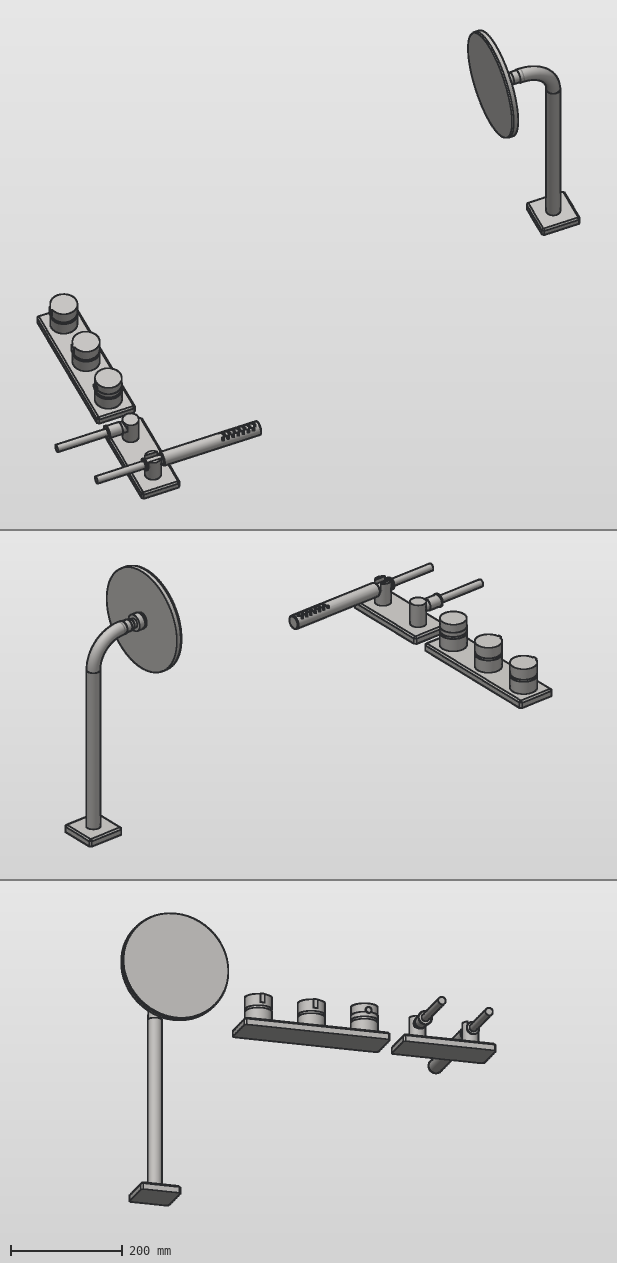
import cadquery as cq
PITCH = 100.0
KNOB_X = [-PITCH, 0, PITCH]
OUTLET_X = 2 * PITCH
HOLDER_X = 3 * PITCH
COLUMN_X = -1.0
COLUMN_Y = 916.0

PLATE_DEPTH = 75.0
PLATE_THICKNESS = 14.0
PLATE_CHAMFER = 3.0
CORNER_CHAMFER = 3.0
KNOB_PLATE_LENGTH = 275.0
POST_PLATE_LENGTH = 175.0

SLEEVE_DIAMETER = 49.0
SLEEVE_TOP = 40.0
KNOB_NECK_DIAMETER = 48.0
KNOB_DIAMETER = 49.0
KNOB_BOTTOM = 44.0
KNOB_TOP = 66.0
TAB_WIDTH = 8.0
TAB_BOTTOM = 49.0
MARK_PROJECTION = 2.0
THERMOSTAT_TOP = 69.0
THERMOSTAT_STEP = 53.0
THERMOSTAT_CAP_DIAMETER = 48.0
BUTTON_DIAMETER = 11.0
BUTTON_Z = 56.0

POST_DIAMETER = 30.0
POST_TOP = 59.0
HOSE_DIAMETER = 14.0
OUTLET_Z = 45.0
OUTLET_NECK_DIAMETER = 21.0
OUTLET_NECK_START = -10.0
OUTLET_NUT_DIAMETER = 23.0
OUTLET_NUT_START = -20.0
OUTLET_COLLAR_DIAMETER = 25.0
OUTLET_COLLAR_START = -45.0
OUTLET_COLLAR_END = -47.0
OUTLET_HOSE_END = -145.0

HAND_Z = 46.0
HAND_DIAMETER = 26.0
HAND_BACK = 208.0
HAND_FRONT = 16.0
HAND_CHAMFER = 1.6
HAND_NECK_DIAMETER = 18.0
HAND_COLLAR_DIAMETER = 23.0
HAND_COLLAR_START = -14.0
HAND_COLLAR_END = -18.0
HAND_HOSE_END = -111.0
NOZZLE_DIAMETER = 4.0
NOZZLE_DEPTH = 5.0
NOZZLE_ROWS = 7
NOZZLE_ROW_PITCH = 10.0
OUTER_NOZZLE_GAP = 15.0
INNER_NOZZLE_GAP = 5.0
SPRAY_CENTER_Y = 164.0

COLUMN_DIAMETER = 26.0
ARM_DIAMETER = 25.0
BEND_RADIUS = 63.0
ARM_RING_LENGTH = 7.0
ARM_SLEEVE_DIAMETER = 23.0
ARM_SLEEVE_LENGTH = 12.0
ARM_NECK_DIAMETER = 21.0
ARM_NECK_LENGTH = 7.0
ARM_TIP_DIAMETER = 18.0
ARM_TIP_LENGTH = 7.0

HEAD_DIAMETER = 200.0
HEAD_TOP = 500.0
HEAD_THICKNESS = 12.0
HEAD_BEVEL_DEPTH = 3.0
HEAD_BEVEL_INSET = 1.0
HEAD_NUT_DIAMETER = 32.0
HEAD_NUT_LENGTH = 13.0
HEAD_FLANGE_DIAMETER = 30.0
HEAD_FLANGE_LENGTH = 4.0

HEAD_Z = HEAD_TOP - HEAD_DIAMETER / 2
COLUMN_TOP = HEAD_Z - BEND_RADIUS
BEND_END_Y = COLUMN_Y - BEND_RADIUS


def upright(x, y, diameter, bottom, top):
    """Vertical cylinder between two heights."""
    return cq.Workplane("XY", origin=(x, y, bottom)).circle(diameter / 2).extrude(top - bottom)


def lying(x, z, diameter, back, front):
    """Cylinder along Y from its back end to its front end, which has the smaller Y."""
    return cq.Workplane("XZ", origin=(x, back, z)).circle(diameter / 2).extrude(back - front)


def deck_plate(x, y, length):
    """Rectangular plate with its upright corners and top edges chamfered."""
    plate = cq.Workplane("XY", origin=(x, y, 0)).rect(length, PLATE_DEPTH).extrude(PLATE_THICKNESS)
    plate = plate.edges("|Z").chamfer(CORNER_CHAMFER)
    return plate.faces(">Z").edges().chamfer(PLATE_CHAMFER)


def make_knob_base():
    """Knob plate with one fixed sleeve under each knob."""
    base = deck_plate(0, 0, KNOB_PLATE_LENGTH)
    for x in KNOB_X:
        base = base.union(upright(x, 0, SLEEVE_DIAMETER, PLATE_THICKNESS, SLEEVE_TOP))
    return base


def make_flow_knob(x):
    """Round knob on a narrower neck, with a pointer tab at the front."""
    knob = upright(x, 0, KNOB_DIAMETER, KNOB_BOTTOM, KNOB_TOP)
    knob = knob.union(upright(x, 0, KNOB_NECK_DIAMETER, SLEEVE_TOP, KNOB_BOTTOM))
    tab_length = KNOB_DIAMETER / 2 + MARK_PROJECTION
    tab = cq.Workplane("XY").box(
        TAB_WIDTH, tab_length, KNOB_TOP - TAB_BOTTOM, centered=(True, False, False)
    )
    return knob.union(tab.translate((x, -tab_length, TAB_BOTTOM)))


def make_thermostat_knob(x):
    """Taller stepped knob with a round safety button at the front."""
    knob = upright(x, 0, KNOB_DIAMETER, KNOB_BOTTOM, THERMOSTAT_STEP)
    knob = knob.union(upright(x, 0, KNOB_NECK_DIAMETER, SLEEVE_TOP, KNOB_BOTTOM))
    knob = knob.union(upright(x, 0, THERMOSTAT_CAP_DIAMETER, THERMOSTAT_STEP, THERMOSTAT_TOP))
    button_front = -KNOB_DIAMETER / 2 - MARK_PROJECTION
    return knob.union(lying(x, BUTTON_Z, BUTTON_DIAMETER, 0, button_front))


def make_post_base():
    """Plate with the outlet post, holed for the hose, and the holder post, slotted as a cradle."""
    base = deck_plate((OUTLET_X + HOLDER_X) / 2, 0, POST_PLATE_LENGTH)
    for x in (OUTLET_X, HOLDER_X):
        base = base.union(upright(x, 0, POST_DIAMETER, PLATE_THICKNESS, POST_TOP))
    outlet_hole = lying(OUTLET_X, OUTLET_Z, OUTLET_NECK_DIAMETER, OUTLET_NECK_START, -POST_DIAMETER)
    cradle_round = lying(HOLDER_X, HAND_Z, HAND_NECK_DIAMETER, POST_DIAMETER, -POST_DIAMETER)
    cradle_mouth = cq.Workplane("XY").box(
        HAND_NECK_DIAMETER, 2 * POST_DIAMETER, POST_TOP - HAND_Z, centered=(True, True, False)
    )
    cradle_mouth = cradle_mouth.translate((HOLDER_X, 0, HAND_Z))
    return base.cut(outlet_hole).cut(cradle_round).cut(cradle_mouth)


def make_outlet_hose():
    """Neck that plugs into the outlet post, nut, collar and hose."""
    neck = lying(OUTLET_X, OUTLET_Z, OUTLET_NECK_DIAMETER, OUTLET_NECK_START, OUTLET_NUT_START)
    nut = lying(OUTLET_X, OUTLET_Z, OUTLET_NUT_DIAMETER, OUTLET_NUT_START, OUTLET_COLLAR_START)
    collar = lying(OUTLET_X, OUTLET_Z, OUTLET_COLLAR_DIAMETER, OUTLET_COLLAR_START, OUTLET_COLLAR_END)
    hose = lying(OUTLET_X, OUTLET_Z, HOSE_DIAMETER, OUTLET_COLLAR_END, OUTLET_HOSE_END)
    return neck.union(nut).union(collar).union(hose)


def make_hand_shower():
    """Handle with spray nozzles on top, the neck held by the cradle, collar and hose."""
    shower = lying(HOLDER_X, HAND_Z, HAND_DIAMETER, HAND_BACK, HAND_FRONT)
    shower = shower.faces("<Y or >Y").edges().chamfer(HAND_CHAMFER)
    shower = shower.union(lying(HOLDER_X, HAND_Z, HAND_NECK_DIAMETER, HAND_FRONT, HAND_COLLAR_START))
    shower = shower.union(
        lying(HOLDER_X, HAND_Z, HAND_COLLAR_DIAMETER, HAND_COLLAR_START, HAND_COLLAR_END)
    )
    shower = shower.union(lying(HOLDER_X, HAND_Z, HOSE_DIAMETER, HAND_COLLAR_END, HAND_HOSE_END))
    hand_top = HAND_Z + HAND_DIAMETER / 2
    for column_gap, shift in ((OUTER_NOZZLE_GAP, 0), (INNER_NOZZLE_GAP, NOZZLE_ROW_PITCH / 2)):
        nozzles = (
            cq.Workplane("XY", origin=(HOLDER_X, SPRAY_CENTER_Y + shift, hand_top))
            .rarray(column_gap, NOZZLE_ROW_PITCH, 2, NOZZLE_ROWS)
            .circle(NOZZLE_DIAMETER / 2)
            .extrude(-NOZZLE_DEPTH)
        )
        shower = shower.cut(nozzles)
    return shower


def make_column():
    """Square foot plate with the straight upright tube."""
    foot = deck_plate(COLUMN_X, COLUMN_Y, PLATE_DEPTH)
    return foot.union(upright(COLUMN_X, COLUMN_Y, COLUMN_DIAMETER, PLATE_THICKNESS, COLUMN_TOP))


def make_arm():
    """Quarter bend from the column towards the front, ending in a stepped spigot."""
    arm = (
        cq.Workplane("XY", origin=(COLUMN_X, COLUMN_Y, COLUMN_TOP))
        .circle(ARM_DIAMETER / 2)
        .revolve(90, (-11, -BEND_RADIUS, 0), (11, -BEND_RADIUS, 0))
    )
    back = BEND_END_Y
    for diameter, length in (
        (ARM_DIAMETER, ARM_RING_LENGTH),
        (ARM_SLEEVE_DIAMETER, ARM_SLEEVE_LENGTH),
        (ARM_NECK_DIAMETER, ARM_NECK_LENGTH),
        (ARM_TIP_DIAMETER, ARM_TIP_LENGTH),
    ):
        arm = arm.union(lying(COLUMN_X, HEAD_Z, diameter, back, back - length))
        back -= length
    return arm


def make_head():
    """Stepped connector behind a thin round disc that faces the front."""
    back = BEND_END_Y - ARM_RING_LENGTH - ARM_SLEEVE_LENGTH - ARM_NECK_LENGTH - ARM_TIP_LENGTH
    disc_back = back - HEAD_NUT_LENGTH - HEAD_FLANGE_LENGTH
    disc_front = disc_back - HEAD_THICKNESS
    half_profile = [
        (COLUMN_X, disc_back),
        (COLUMN_X + HEAD_DIAMETER / 2, disc_back),
        (COLUMN_X + HEAD_DIAMETER / 2, disc_front + HEAD_BEVEL_DEPTH),
        (COLUMN_X + HEAD_DIAMETER / 2 - HEAD_BEVEL_INSET, disc_front),
        (COLUMN_X, disc_front),
    ]
    head = (
        cq.Workplane("XY", origin=(0, 0, HEAD_Z))
        .polyline(half_profile)
        .close()
        .revolve(360, (COLUMN_X, disc_back, 0), (COLUMN_X, disc_front, 0))
    )
    for diameter, length in (
        (HEAD_NUT_DIAMETER, HEAD_NUT_LENGTH),
        (HEAD_FLANGE_DIAMETER, HEAD_FLANGE_LENGTH),
    ):
        head = head.union(lying(COLUMN_X, HEAD_Z, diameter, back, back - length))
        back -= length
    return head


knob_base = make_knob_base()
flow_knobs = [make_flow_knob(x) for x in KNOB_X[:2]]
thermostat_knob = make_thermostat_knob(KNOB_X[2])
post_base = make_post_base()
outlet_hose = make_outlet_hose()
hand_shower = make_hand_shower()
column = make_column()
arm = make_arm()
head = make_head()

result = cq.Compound.makeCompound([
    knob_base.val(),
    *[knob.val() for knob in flow_knobs],
    thermostat_knob.val(),
    post_base.val(),
    outlet_hose.val(),
    hand_shower.val(),
    column.val(),
    arm.val(),
    head.val(),
])